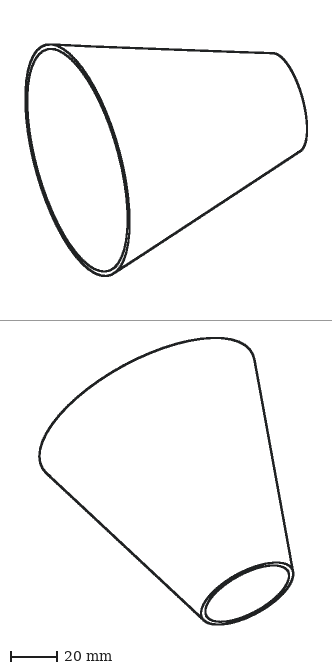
import cadquery as cq

large_diameter = 104.0
small_diameter = 44.5
length = 100.0
radial_wall = 2.1

large_radius = large_diameter / 2
small_radius = small_diameter / 2
large_end_y = -length / 2
small_end_y = length / 2

wall_section = (
    cq.Workplane("XY")
    .moveTo(large_radius - radial_wall, large_end_y)
    .lineTo(large_radius, large_end_y)
    .lineTo(small_radius, small_end_y)
    .lineTo(small_radius - radial_wall, small_end_y)
    .close()
)

result = wall_section.revolve(360, (0, 0, 0), (0, 1, 0))